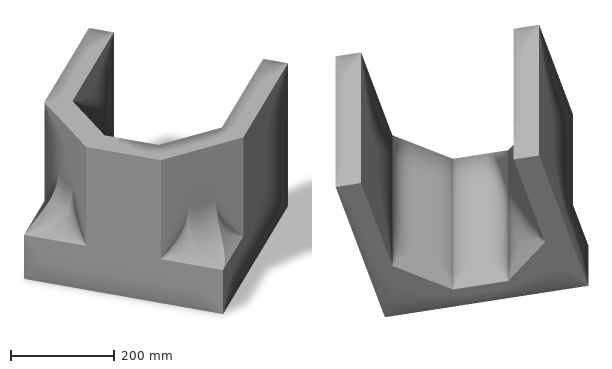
import cadquery as cq
import math

WIDTH = 406.4
HEIGHT = 330.2
WALL = 50.8
CHAMFER_LEG = 127.0
BASE_HEIGHT = 101.6
STOP_RISE = 101.6

HALF = WIDTH / 2
STOP_TOP = BASE_HEIGHT + STOP_RISE
INNER_HALF = HALF - WALL
INNER_CHAMFER_LEG = CHAMFER_LEG - WALL * (2 - math.sqrt(2))
CORNER_DEPTH = CHAMFER_LEG / math.sqrt(2)

SIDE_RADIUS = STOP_RISE * math.sqrt(2)
SIDE_AXIS_OFFSET = STOP_RISE
DIAGONAL_RADIUS = (CORNER_DEPTH**2 + STOP_RISE**2) / (2 * CORNER_DEPTH)
DIAGONAL_AXIS_OFFSET = DIAGONAL_RADIUS - CORNER_DEPTH


def chamfered_prism(half_width, front_y, leg, height):
    """Prism open to the back edge, with both front corners chamfered."""
    right_side = [
        (half_width - leg, front_y),
        (half_width, front_y + leg),
        (half_width, HALF),
    ]
    left_side = [(-x, y) for x, y in reversed(right_side)]
    return cq.Workplane("XY").polyline(right_side + left_side).close().extrude(height)


def scoop(axis_point, axis_direction, radius):
    """Horizontal cylinder centred on axis_point, long enough to cross a corner stop."""
    length = WIDTH
    direction = cq.Vector(*axis_direction).normalized()
    start = cq.Vector(*axis_point) - direction * (length / 2)
    return cq.Workplane(obj=cq.Solid.makeCylinder(radius, length, start, direction))


def right_corner_stop():
    """Triangular block in the right front corner, hollowed by three concave scoops."""
    stop = (
        cq.Workplane("XY")
        .workplane(offset=BASE_HEIGHT)
        .polyline([(HALF, -HALF), (HALF, -HALF + CHAMFER_LEG), (HALF - CHAMFER_LEG, -HALF)])
        .close()
        .extrude(STOP_RISE)
    )
    side_axis = HALF + SIDE_AXIS_OFFSET
    diagonal_axis = HALF + DIAGONAL_AXIS_OFFSET / math.sqrt(2)
    front_scoop = scoop((HALF, -side_axis, STOP_TOP), (1, 0, 0), SIDE_RADIUS)
    side_scoop = scoop((side_axis, -HALF, STOP_TOP), (0, 1, 0), SIDE_RADIUS)
    diagonal_scoop = scoop((diagonal_axis, -diagonal_axis, STOP_TOP), (1, 1, 0), DIAGONAL_RADIUS)
    return stop.cut(front_scoop).cut(side_scoop).cut(diagonal_scoop)


tower = chamfered_prism(HALF, -HALF, CHAMFER_LEG, HEIGHT)
base = cq.Workplane("XY").box(WIDTH, WIDTH, BASE_HEIGHT, centered=(True, True, False))
cavity = chamfered_prism(INNER_HALF, -INNER_HALF, INNER_CHAMFER_LEG, HEIGHT)

right_stop = right_corner_stop()
left_stop = right_stop.mirror("YZ")

result = tower.union(base).union(right_stop).union(left_stop).cut(cavity)